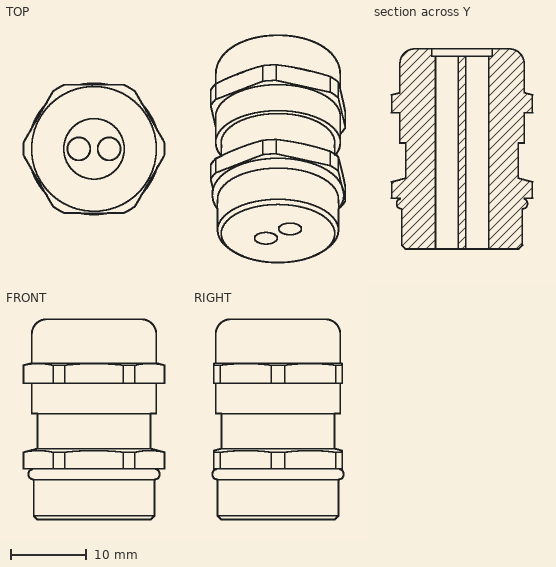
import cadquery as cq
import math

TOTAL_HEIGHT = 26.5
THREAD_TOP = 5.3
SEAL_THICKNESS = 1.4
BODY_HEX_BASE = THREAD_TOP + SEAL_THICKNESS
CAP_BASE = 14.0
CAP_HEX_BASE = 18.0

THREAD_RADIUS = 8.0
THREAD_CHAMFER = 0.5
NECK_RADIUS = 7.5
CAP_RADIUS = 8.25
CAP_ROUNDING = 2.0

HEX_ACROSS_FLATS = 17.0
HEX_CORNER_RADIUS = 9.35
HEX_HEIGHT = 2.7
HEX_SLOPE_DEGREES = 15.0

RECESS_DIAMETER = 8.0
RECESS_DEPTH = 1.0
CABLE_HOLE_DIAMETER = 3.0
CABLE_HOLE_SPACING = 4.0


def cylinder(radius, bottom, top):
    """Solid cylinder on the Z axis between two levels."""
    return cq.Workplane("XY").workplane(offset=bottom).circle(radius).extrude(top - bottom)


def hex_collar(base, shaft_radius):
    """Hexagon with turned corners and a top that slopes down away from the shaft."""
    top = base + HEX_HEIGHT
    drop = (HEX_CORNER_RADIUS - shaft_radius) * math.tan(math.radians(HEX_SLOPE_DEGREES))
    across_corners = HEX_ACROSS_FLATS / math.cos(math.radians(30))
    hexagon = cq.Workplane("XY").workplane(offset=base).polygon(6, across_corners).extrude(HEX_HEIGHT)
    turned_blank = (
        cq.Workplane("XZ")
        .moveTo(0, base)
        .lineTo(HEX_CORNER_RADIUS, base)
        .lineTo(HEX_CORNER_RADIUS, top - drop)
        .lineTo(shaft_radius, top)
        .lineTo(0, top)
        .close()
        .revolve(360, (0, 0, 0), (0, 1, 0))
    )
    return hexagon.intersect(turned_blank)


def seal_ring():
    """O-ring below the lower collar, filled to the axis, with a half-round rim."""
    rim_radius = SEAL_THICKNESS / 2
    return (
        cq.Workplane("XZ")
        .moveTo(0, THREAD_TOP)
        .lineTo(THREAD_RADIUS, THREAD_TOP)
        .threePointArc(
            (THREAD_RADIUS + rim_radius, THREAD_TOP + rim_radius),
            (THREAD_RADIUS, BODY_HEX_BASE),
        )
        .lineTo(0, BODY_HEX_BASE)
        .close()
        .revolve(360, (0, 0, 0), (0, 1, 0))
    )


def insert_cut():
    """Recess in the cap face and the two cable holes running through the part."""
    recess = cylinder(RECESS_DIAMETER / 2, TOTAL_HEIGHT - RECESS_DEPTH, TOTAL_HEIGHT)
    half_spacing = CABLE_HOLE_SPACING / 2
    cable_holes = (
        cq.Workplane("XY")
        .pushPoints([(-half_spacing, 0), (half_spacing, 0)])
        .circle(CABLE_HOLE_DIAMETER / 2)
        .extrude(TOTAL_HEIGHT)
    )
    return recess.union(cable_holes)


thread = cylinder(THREAD_RADIUS, 0, THREAD_TOP).faces("<Z").chamfer(THREAD_CHAMFER)
neck = cylinder(NECK_RADIUS, BODY_HEX_BASE, CAP_BASE)
cap = cylinder(CAP_RADIUS, CAP_BASE, TOTAL_HEIGHT).faces(">Z").edges().fillet(CAP_ROUNDING)

result = (
    thread
    .union(seal_ring())
    .union(hex_collar(BODY_HEX_BASE, NECK_RADIUS))
    .union(neck)
    .union(cap)
    .union(hex_collar(CAP_HEX_BASE, CAP_RADIUS))
    .cut(insert_cut())
)